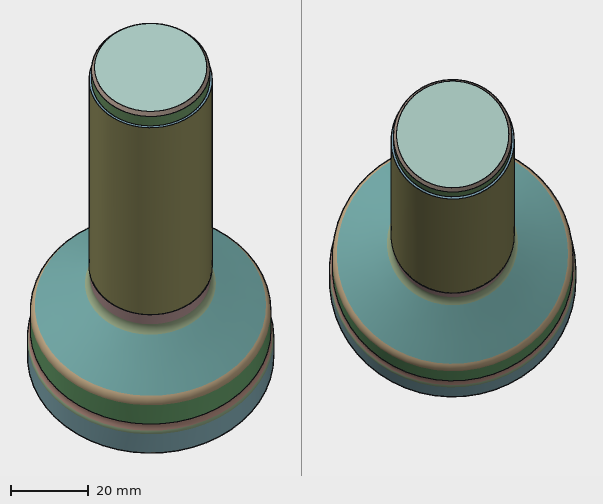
import cadquery as cq
import math

total_height = 120.65
cutter_diameter = 63.5
shank_diameter = 31.75

cutter_radius = cutter_diameter / 2
cutter_height = 11.65
rim_round = 0.75
step_base_height = 8.3
step_middle_height = 9.4
step_top_height = 11.4

drum_radius = 31.0
drum_round = 2.9
cone_angle = math.radians(35)
neck_radius = 15.5
neck_fillet = 3.175
neck_base_height = 33.4
shank_radius = shank_diameter / 2
shank_base_height = 37.9
shank_fillet_height = 0.75
tip_radius = 15.25
tip_length = 5.0
tip_chamfer_height = 1.1
tip_chamfer_width = 0.8


def revolve_about_z(outline):
    """Turn a closed radius-height outline on the XZ plane about the Z axis."""
    return outline.close().revolve(360, (0, 0, 0), (0, 1, 0))


def make_cutter():
    """Low disc whose outside steps in through a convex and a concave arc."""
    convex_share = (step_middle_height - step_base_height) / (step_top_height - step_base_height)
    step_middle_radius = cutter_radius - convex_share * (cutter_radius - drum_radius)

    outline = (
        cq.Workplane("XZ")
        .lineTo(cutter_radius - rim_round, 0)
        .radiusArc((cutter_radius, rim_round), -rim_round)
        .lineTo(cutter_radius, step_base_height)
        .tangentArcPoint((step_middle_radius, step_middle_height), relative=False)
        .tangentArcPoint((drum_radius, step_top_height), relative=False)
        .lineTo(drum_radius, cutter_height)
        .lineTo(0, cutter_height)
    )
    return revolve_about_z(outline)


def make_holder():
    """Drum, cone, neck and shank standing on the cutter."""
    turn_angle = math.pi / 2 - cone_angle
    width_per_round = 1 - math.cos(turn_angle)
    height_per_round = math.sin(turn_angle)

    cone_top_radius = neck_radius + neck_fillet * width_per_round
    cone_top_height = neck_base_height - neck_fillet * height_per_round
    cone_base_radius = drum_radius - drum_round * width_per_round
    cone_base_height = cone_top_height - (cone_base_radius - cone_top_radius) * math.tan(cone_angle)
    drum_top_height = cone_base_height - drum_round * height_per_round

    tip_base_height = total_height - tip_length
    neck_top_height = shank_base_height - shank_fillet_height

    outline = (
        cq.Workplane("XZ")
        .moveTo(0, cutter_height)
        .lineTo(drum_radius, cutter_height)
        .lineTo(drum_radius, drum_top_height)
        .tangentArcPoint((cone_base_radius, cone_base_height), relative=False)
        .lineTo(cone_top_radius, cone_top_height)
        .tangentArcPoint((neck_radius, neck_base_height), relative=False)
        .lineTo(neck_radius, neck_top_height)
        .tangentArcPoint((shank_radius, shank_base_height), relative=False)
        .lineTo(shank_radius, tip_base_height)
        .lineTo(tip_radius, tip_base_height)
        .lineTo(tip_radius, total_height - tip_chamfer_height)
        .lineTo(tip_radius - tip_chamfer_width, total_height)
        .lineTo(0, total_height)
    )
    return revolve_about_z(outline)


cutter = make_cutter()
holder = make_holder()

result = cq.Compound.makeCompound([cutter.val(), holder.val()])